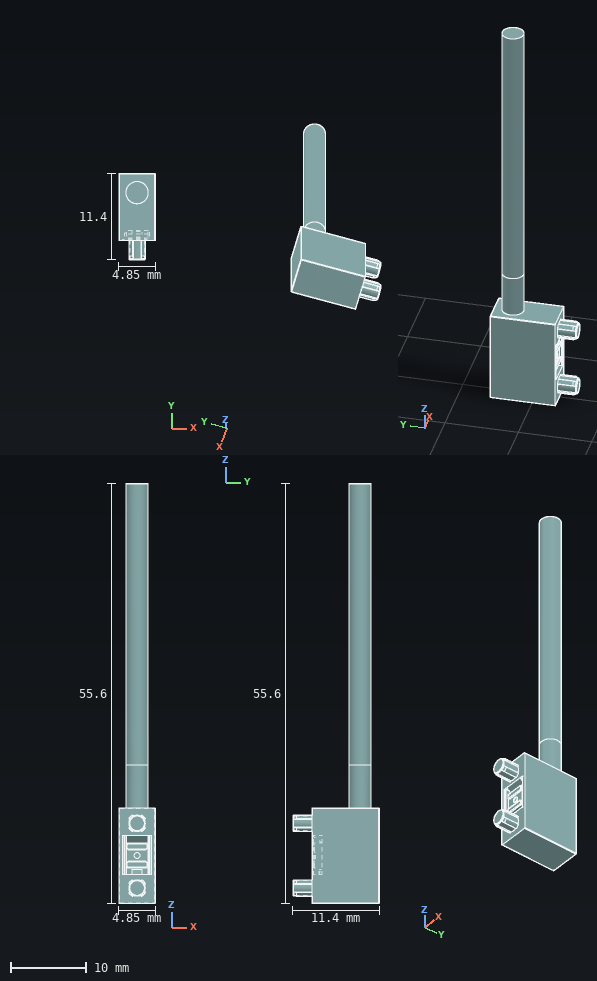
import cadquery as cq

TOTAL_HEIGHT = 55.6

HOUSING_WIDTH = 4.85
HOUSING_DEPTH = 8.9
HOUSING_HEIGHT = 12.7
EDGE_BEVEL = 0.085

CABLE_DIAMETER = 2.95
CABLE_TO_BACK = 2.55
CABLE_Y = HOUSING_DEPTH - CABLE_TO_BACK
STUB_LENGTH = 5.7
STUB_TOP = HOUSING_HEIGHT + STUB_LENGTH

PEG_LENGTH = 2.55
PEG_CORE_DIAMETER = 2.15
PEG_TIP_BEVEL = 0.1
PEG_RIB_DIAMETER = 2.5
PEG_RIB_WIDTH = 0.65
PEG_RIB_ANGLES = (45, 135)
PEG_RIB_LENGTH = 2.4
PEG_RIB_TAPER = 0.35
PEG_TO_END = 2.05
PEG_HEIGHTS = (PEG_TO_END, HOUSING_HEIGHT - PEG_TO_END)

WINDOW_WIDTH = 3.85
WINDOW_HEIGHT = 5.2
WINDOW_BOTTOM = 3.85
WINDOW_TOP = WINDOW_BOTTOM + WINDOW_HEIGHT
WINDOW_DEPTH = 1.35
WINDOW_BACK_WIDTH = 3.15
MOUTH_STEP = 0.15
MOUTH_DEPTH = 0.15

RIDGE_WIDTH = 2.65
RIDGE_HEIGHT = 0.9
RIDGE_PROJECTION = 0.15
RIDGE_BEVEL = 0.1
RIDGE_CORNER = 0.2

BLOCK_WIDTH = 2.85
BLOCK_RECESS = 0.35
FOOT_RECESS = 0.9
FOOT_HEIGHT = 0.9
FOOT_TOP = WINDOW_BOTTOM + FOOT_HEIGHT
FACE_BOTTOM = FOOT_TOP + RIDGE_HEIGHT
FACE_HEIGHT = 1.5
FACE_TOP = FACE_BOTTOM + FACE_HEIGHT
BLOCK_TOP = FACE_TOP + RIDGE_HEIGHT

HOLE_DIAMETER = 0.8
HOLE_DEPTH = 0.1

NOTCH_WIDTH = 1.35
NOTCH_HEIGHT = 0.65
NOTCH_DEPTH = 0.3


def front_box(width, front, back, bottom, height):
    """Box centred on X that runs from Y = front to Y = back."""
    box = cq.Workplane("XY").box(width, back - front, height, centered=(True, False, False))
    return box.translate((0, front, bottom))


def side_prism(points, width):
    """Prism centred on X with a (Y, Z) outline."""
    return cq.Workplane("YZ").polyline(points).close().extrude(width / 2, both=True)


def make_peg(height):
    """Round peg with four diagonal ribs that taper into its core before the tip."""
    core_radius = PEG_CORE_DIAMETER / 2
    rib_radius = PEG_RIB_DIAMETER / 2
    rib_envelope = (
        cq.Workplane("XY")
        .lineTo(rib_radius, 0)
        .lineTo(rib_radius, PEG_RIB_TAPER - PEG_RIB_LENGTH)
        .lineTo(core_radius, -PEG_RIB_LENGTH)
        .lineTo(0, -PEG_RIB_LENGTH)
        .close()
        .revolve(360, (0, 0, 0), (0, 1, 0))
    )
    peg = cq.Workplane("XZ").circle(core_radius).extrude(PEG_LENGTH)
    peg = peg.faces("<Y").chamfer(PEG_TIP_BEVEL)
    for angle in PEG_RIB_ANGLES:
        rib_pair = (
            cq.Workplane("XZ")
            .transformed(rotate=(0, 0, angle))
            .rect(2 * PEG_RIB_DIAMETER, PEG_RIB_WIDTH)
            .extrude(PEG_RIB_LENGTH)
        )
        peg = peg.union(rib_pair.intersect(rib_envelope))
    return peg.translate((0, 0, height))


def make_window():
    """Recess with a stepped mouth and sides that converge towards the back."""
    mouth = front_box(WINDOW_WIDTH, 0, MOUTH_DEPTH, WINDOW_BOTTOM, WINDOW_HEIGHT)
    front_half = WINDOW_WIDTH / 2 - MOUTH_STEP
    back_half = WINDOW_BACK_WIDTH / 2
    recess = (
        cq.Workplane("XY", origin=(0, 0, WINDOW_BOTTOM))
        .moveTo(-front_half, 0)
        .lineTo(front_half, 0)
        .lineTo(back_half, WINDOW_DEPTH)
        .lineTo(-back_half, WINDOW_DEPTH)
        .close()
        .extrude(WINDOW_HEIGHT)
    )
    return recess.union(mouth)


def make_canopy():
    """Wedge above the block whose underside slopes down to the block at the back."""
    canopy_outline = [
        (0, WINDOW_TOP),
        (WINDOW_DEPTH, WINDOW_TOP),
        (WINDOW_DEPTH, BLOCK_TOP),
    ]
    return side_prism(canopy_outline, BLOCK_WIDTH)


def make_ridge(bottom):
    """Ridge across the block with cut corners and bevelled long front edges."""
    front = BLOCK_RECESS - RIDGE_PROJECTION
    ridge = front_box(RIDGE_WIDTH, front, WINDOW_DEPTH, bottom, RIDGE_HEIGHT)
    ridge = ridge.edges("|Y").chamfer(RIDGE_CORNER)
    return ridge.edges("|X and <Y").chamfer(RIDGE_BEVEL)


def make_block():
    """Connector block with two ridges and a small hole, on a notched foot."""
    foot = front_box(BLOCK_WIDTH, FOOT_RECESS, WINDOW_DEPTH, WINDOW_BOTTOM, FOOT_HEIGHT)
    notch_top = WINDOW_BOTTOM + NOTCH_HEIGHT
    notch_outline = [
        (FOOT_RECESS, WINDOW_BOTTOM),
        (FOOT_RECESS, notch_top),
        (FOOT_RECESS + NOTCH_DEPTH, notch_top),
    ]
    foot = foot.cut(side_prism(notch_outline, NOTCH_WIDTH))
    block = front_box(BLOCK_WIDTH, BLOCK_RECESS, WINDOW_DEPTH, FOOT_TOP, BLOCK_TOP - FOOT_TOP)
    for bottom in (FOOT_TOP, FACE_TOP):
        block = block.union(make_ridge(bottom))
    hole = (
        cq.Workplane("XZ", origin=(0, BLOCK_RECESS, FACE_BOTTOM + FACE_HEIGHT / 2))
        .circle(HOLE_DIAMETER / 2)
        .extrude(-HOLE_DEPTH)
    )
    return block.cut(hole).union(foot)


def make_housing():
    """Housing with its cable stub, window, connector block and pegs."""
    housing = front_box(HOUSING_WIDTH, 0, HOUSING_DEPTH, 0, HOUSING_HEIGHT)
    housing = housing.edges("not <Y").chamfer(EDGE_BEVEL)
    stub = (
        cq.Workplane("XY", origin=(0, CABLE_Y, HOUSING_HEIGHT))
        .circle(CABLE_DIAMETER / 2)
        .extrude(STUB_LENGTH)
    )
    housing = housing.union(stub).cut(make_window())
    housing = housing.union(make_canopy()).union(make_block())
    for height in PEG_HEIGHTS:
        housing = housing.union(make_peg(height))
    return housing


def make_cable():
    """Plain round cable that starts on top of the stub."""
    return (
        cq.Workplane("XY", origin=(0, CABLE_Y, STUB_TOP))
        .circle(CABLE_DIAMETER / 2)
        .extrude(TOTAL_HEIGHT - STUB_TOP)
    )


housing = make_housing()
cable = make_cable()

result = cq.Compound.makeCompound([housing.val(), cable.val()])